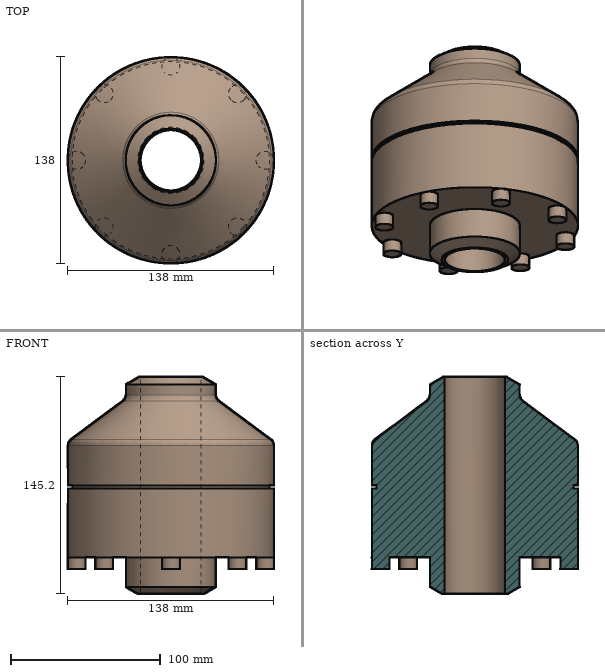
import cadquery as cq
import math

body_diameter = 138.0
pipe_diameter = 60.3
bore_diameter = 40.3
total_height = 145.2

top_land_width = 1.0
bottom_land_width = 2.0
bevel_angle = 30.0

top_z = total_height / 2
bottom_z = -total_height / 2
lower_pipe_length = 24.5
flange_height = 46.0
flange_bottom_z = bottom_z + lower_pipe_length
flange_top_z = flange_bottom_z + flange_height
gap_height = 2.0
gap_diameter = 132.0
cover_bottom_z = flange_top_z + gap_height

cover_rim_height = 29.2
shoulder_z = cover_bottom_z + cover_rim_height
cone_angle = 36.6
shoulder_fillet = 5.0
neck_fillet = 5.0

bolt_count = 8
bolt_diameter = 12.0
bolt_circle_diameter = body_diameter - bolt_diameter
bolt_projection = 8.0

body_radius = body_diameter / 2
pipe_radius = pipe_diameter / 2
bore_radius = bore_diameter / 2
gap_radius = gap_diameter / 2
top_land_radius = bore_radius + top_land_width
bottom_land_radius = bore_radius + bottom_land_width
bevel_slope = math.tan(math.radians(bevel_angle))
top_bevel_height = (pipe_radius - top_land_radius) * bevel_slope
bottom_bevel_height = (pipe_radius - bottom_land_radius) * bevel_slope
cone_height = (body_radius - pipe_radius) * math.tan(math.radians(cone_angle))
cone_top_z = shoulder_z + cone_height


def make_body():
    """Revolve the half section, then round the two ends of the cone."""
    outline = [
        (bore_radius, bottom_z),
        (bottom_land_radius, bottom_z),
        (pipe_radius, bottom_z + bottom_bevel_height),
        (pipe_radius, flange_bottom_z),
        (body_radius, flange_bottom_z),
        (body_radius, flange_top_z),
        (gap_radius, flange_top_z),
        (gap_radius, cover_bottom_z),
        (body_radius, cover_bottom_z),
        (body_radius, shoulder_z),
        (pipe_radius, cone_top_z),
        (pipe_radius, top_z - top_bevel_height),
        (top_land_radius, top_z),
        (bore_radius, top_z),
    ]
    body = cq.Workplane("XZ").polyline(outline).close().revolve(360, (0, 0, 0), (0, 1, 0))
    body = round_circle(body, body_radius, shoulder_z, shoulder_fillet)
    return round_circle(body, pipe_radius, cone_top_z, neck_fillet)


def round_circle(body, radius, z, fillet_radius):
    """Fillet the circular edge of the given radius at height z."""
    margin = 0.1
    corner = (-radius - margin, -radius - margin, z - margin)
    opposite_corner = (radius + margin, radius + margin, z + margin)
    edge = cq.selectors.BoxSelector(corner, opposite_corner, boundingbox=True)
    return body.edges(edge).fillet(fillet_radius)


def make_bolts():
    """Ring of round bolt ends standing out below the flange."""
    return (
        cq.Workplane("XY", origin=(0, 0, flange_bottom_z))
        .polarArray(bolt_circle_diameter / 2, 0, 360, bolt_count)
        .circle(bolt_diameter / 2)
        .extrude(-bolt_projection)
    )


result = make_body().union(make_bolts())